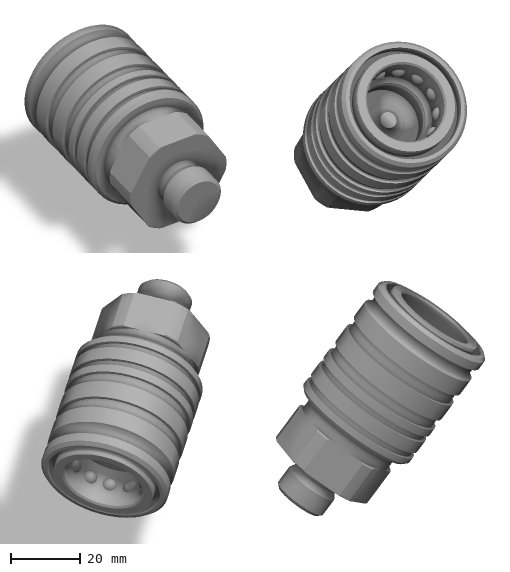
import cadquery as cq
import math


LENGTH = 67.5

SLEEVE_FRONT = 0.8
SLEEVE_BACK = 39.8
SLEEVE_DIAMETER = 38.0
SLEEVE_RADIUS = SLEEVE_DIAMETER / 2
SLEEVE_CHAMFER = 1.0
RECESS_RADIUS = 16.9
RECESS_DEPTH = 3.7
GRIP_GROOVE_DEPTH = 1.0
GRIP_GROOVES = [(13.85, 17.4), (22.95, 26.3), (28.8, 30.85), (34.95, 36.9)]
ROUND_GROOVE_START = 4.5
ROUND_GROOVE_WIDTH = 4.0
ROUND_GROOVE_DEPTH = 1.5

BARREL_RADIUS = 15.0
BARREL_TIP_RADIUS = 14.8
BARREL_TAPER = 0.8

HEX_FLAT = BARREL_RADIUS
HEX_CORNER_RADIUS = 16.3
HEX_START = 44.4
HEX_END = 56.3
HEX_CHAMFER = 0.3
NECK_STRIP_HALF_WIDTH = 1.2
NECK_RADIUS = math.hypot(HEX_FLAT, NECK_STRIP_HALF_WIDTH)

TAIL_NECK_RADIUS = 6.9
TAIL_RADIUS = 8.0
TAIL_FILLET = 0.4
TAIL_CONE_START = 59.05
TAIL_CONE_END = 61.0
TAIL_CHAMFER = 1.0

MOUTH_RADIUS = 12.3
BORE_RADIUS = 11.75
SEAT_START = 12.55
SEAT_END = 13.5
SEAT_DIAMETER = 20.2
SEAT_RADIUS = SEAT_DIAMETER / 2
MOUTH_CHAMFER = MOUTH_RADIUS - BORE_RADIUS
SEAL_START = 14.05
SEAL_BULGE = 0.35
SEAL_ROUNDING = 1.35
SEAL_HALF_WIDTH = math.sqrt(SEAL_ROUNDING**2 - (SEAL_ROUNDING - SEAL_BULGE) ** 2)
SOCKET_DEPTH = 20.25

POST_RADIUS = 2.4
POST_FLARE = 3.05
POST_BASE_RADIUS = 5.6
POST_BASE_HEIGHT = 0.15

BALL_COUNT = 12
BALL_RADIUS = 2.3
BALL_TIP_RADIUS = 10.3
BALL_X = 7.55


def revolve(profile):
    """Turn a closed profile, drawn as (X, radius), about the X axis."""
    return profile.close().revolve(360, (0, 0, 0), (1, 0, 0))


def cylinder(start, end, radius):
    """Solid cylinder along X between two X positions."""
    return cq.Workplane("YZ").workplane(offset=start).circle(radius).extrude(end - start)


def make_round_groove():
    """Cutter for the ring groove with an arc-shaped section near the sleeve mouth."""
    end = ROUND_GROOVE_START + ROUND_GROOVE_WIDTH
    middle = ROUND_GROOVE_START + ROUND_GROOVE_WIDTH / 2
    return revolve(
        cq.Workplane("XY")
        .moveTo(ROUND_GROOVE_START, SLEEVE_RADIUS)
        .threePointArc((middle, SLEEVE_RADIUS - ROUND_GROOVE_DEPTH), (end, SLEEVE_RADIUS))
    )


def make_grip_groove(start, end):
    """Cutter for one square ring groove."""
    floor_radius = SLEEVE_RADIUS - GRIP_GROOVE_DEPTH
    return cylinder(start, end, SLEEVE_RADIUS + GRIP_GROOVE_DEPTH).cut(cylinder(start, end, floor_radius))


def make_sleeve():
    sleeve = cylinder(SLEEVE_FRONT, SLEEVE_BACK, SLEEVE_RADIUS).edges().chamfer(SLEEVE_CHAMFER)
    sleeve = sleeve.cut(cylinder(SLEEVE_FRONT, SLEEVE_BACK, BARREL_RADIUS))
    sleeve = sleeve.cut(cylinder(SLEEVE_FRONT, SLEEVE_FRONT + RECESS_DEPTH, RECESS_RADIUS))
    sleeve = sleeve.cut(make_round_groove())
    for start, end in GRIP_GROOVES:
        sleeve = sleeve.cut(make_grip_groove(start, end))
    return sleeve


def make_barrel():
    """Round barrel that fills the sleeve bore, slightly tapered at its tip."""
    return revolve(
        cq.Workplane("XY")
        .moveTo(0, 0)
        .lineTo(0, BARREL_TIP_RADIUS)
        .lineTo(BARREL_TAPER, BARREL_RADIUS)
        .lineTo(SLEEVE_BACK, BARREL_RADIUS)
        .lineTo(SLEEVE_BACK, 0)
    )


def make_nut():
    """Neck and hex nut, both trimmed by the same six flats; two flats face +Z and -Z."""
    neck = cylinder(SLEEVE_BACK, HEX_START, NECK_RADIUS)
    nut = cylinder(HEX_START, HEX_END, HEX_CORNER_RADIUS).edges().chamfer(HEX_CHAMFER)
    corner_diameter = 2 * HEX_FLAT / math.cos(math.pi / 6)
    hexagon = cq.Workplane("YZ").workplane(offset=SLEEVE_BACK).polygon(6, corner_diameter)
    return neck.union(nut).intersect(hexagon.extrude(HEX_END - SLEEVE_BACK))


def make_tail():
    """Tail plug: filleted neck, cone and chamfered end."""
    fillet_mid = TAIL_FILLET * (1 - math.sqrt(0.5))
    return revolve(
        cq.Workplane("XY")
        .moveTo(HEX_END, 0)
        .lineTo(HEX_END, TAIL_NECK_RADIUS + TAIL_FILLET)
        .threePointArc(
            (HEX_END + fillet_mid, TAIL_NECK_RADIUS + fillet_mid),
            (HEX_END + TAIL_FILLET, TAIL_NECK_RADIUS),
        )
        .lineTo(TAIL_CONE_START, TAIL_NECK_RADIUS)
        .lineTo(TAIL_CONE_END, TAIL_RADIUS)
        .lineTo(LENGTH - TAIL_CHAMFER, TAIL_RADIUS)
        .lineTo(LENGTH, TAIL_RADIUS - TAIL_CHAMFER)
        .lineTo(LENGTH, 0)
    )


def make_socket():
    """Cutter for the stepped socket; the flared post is left standing on its floor."""
    flare_top = SOCKET_DEPTH - POST_BASE_HEIGHT - POST_FLARE
    flare_mid = POST_FLARE * math.sqrt(0.5)
    flare_radius = POST_RADIUS + POST_FLARE
    seal_middle = SEAL_START + SEAL_HALF_WIDTH
    return revolve(
        cq.Workplane("XY")
        .moveTo(0, 0)
        .lineTo(0, MOUTH_RADIUS)
        .lineTo(MOUTH_CHAMFER, BORE_RADIUS)
        .lineTo(SEAT_START, BORE_RADIUS)
        .lineTo(SEAT_END, SEAT_RADIUS)
        .lineTo(SEAL_START, SEAT_RADIUS)
        .threePointArc(
            (seal_middle, SEAT_RADIUS - SEAL_BULGE),
            (SEAL_START + 2 * SEAL_HALF_WIDTH, SEAT_RADIUS),
        )
        .lineTo(SOCKET_DEPTH, SEAT_RADIUS)
        .lineTo(SOCKET_DEPTH, POST_BASE_RADIUS)
        .lineTo(SOCKET_DEPTH - POST_BASE_HEIGHT, flare_radius)
        .threePointArc(
            (flare_top + flare_mid, flare_radius - flare_mid),
            (flare_top, POST_RADIUS),
        )
        .lineTo(flare_top, 0)
    )


def make_ball(angle):
    """Locking ball at an angle around the axis, measured from +Y."""
    distance = BALL_TIP_RADIUS + BALL_RADIUS
    centre = (BALL_X, distance * math.cos(angle), distance * math.sin(angle))
    return cq.Workplane("XY").sphere(BALL_RADIUS).translate(centre)


def make_core():
    core = make_barrel().union(make_nut()).union(make_tail())
    core = core.cut(make_socket())
    for index in range(BALL_COUNT):
        core = core.union(make_ball(2 * math.pi * index / BALL_COUNT))
    return core


sleeve = make_sleeve()
core = make_core()

result = cq.Compound.makeCompound([sleeve.val(), core.val()])